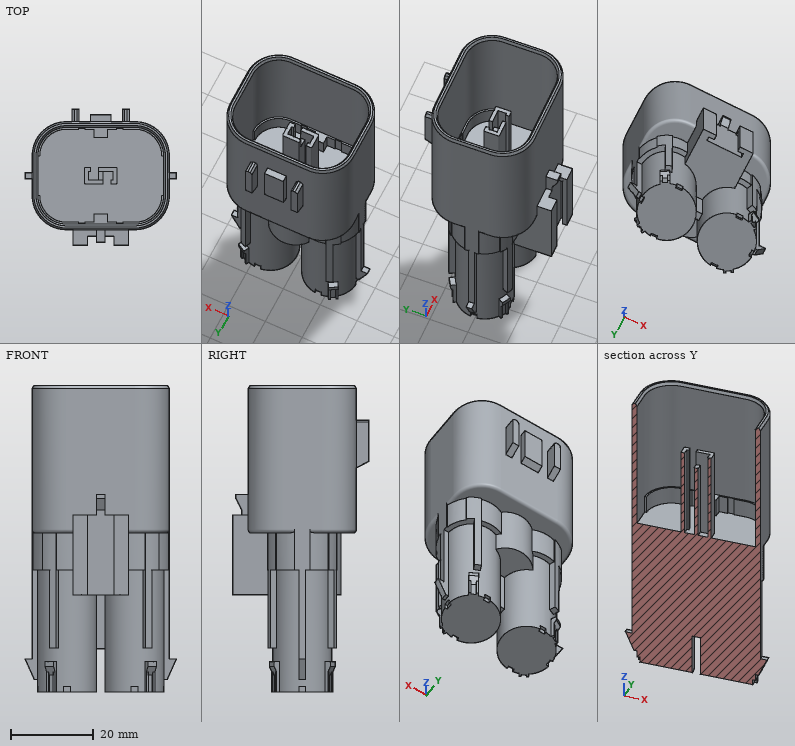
import cadquery as cq
import math

TOTAL_HEIGHT = 74.6

SHELL_LENGTH = 33.4
SHELL_WIDTH = 26.3
SHELL_CORNER_RADIUS = 8.35
SHELL_BOTTOM = 38.65
SHELL_BOTTOM_ROUND = 0.9
SHELL_WALL = 1.4
FLOOR_THICKNESS = 1.5
RIM_CHAMFER_WIDTH = 0.45
RIM_CHAMFER_HEIGHT = 0.75

LEDGE_WIDTH = 0.45
LEDGE_HEIGHT = 4.5
LEDGE_GAP = 9.7
LEDGE_NOTCH_WIDTH = 1.65
LEDGE_NOTCH_DEPTH = 0.2
LEDGE_NOTCH_SPACING = 9.25
TAB_WIDTH = 3.2
TAB_LENGTH = 2.0

KEY_TOP = 63.1
KEY_LENGTH = 7.9
KEY_WIDTH = 4.1
KEY_WALL = 1.0
KEY_HOOK = 1.5
KEY_BAR_WIDTH = 1.1
KEY_BAR_DROP = 3.7
KEY_CORNER_ROUND = 0.3

TUBE_DIAMETER = 14.4
TUBE_OFFSET = 8.2
SLEEVE_RADIUS = 8.5
SLEEVE_BOTTOM = 29.7
END_NOTCH_WIDTH = 1.65
END_NOTCH_HEIGHT = 1.4
END_NOTCH_DEPTH = 0.75
WEB_THICKNESS = 1.9
WEB_BOTTOM = 10.5

SIDE_ANGLE = 30.0
PAD_WIDTH = 3.7
PAD_RADIUS = 8.8
RIB_WIDTH = 1.7
RIB_BOTTOM = 10.7
CLIP_WIDTH = 2.4
CLIP_TOP = 7.4
CLIP_HEAD_BOTTOM = 6.2
CLIP_HEAD_RADIUS = 8.6
CLIP_BODY_RADIUS = 7.9
CLIP_BODY_TOP = 4.9
CLIP_CHANNEL_WIDTH = 1.3
CLIP_CHANNEL_RADIUS = 7.45
CLIP_CHANNEL_TOP = 4.1

WING_THICKNESS = 1.5
WING_ROOT_WIDTH = 3.7
BARB_REACH = 18.4
BARB_TOP = 8.05
BARB_TIP = 16.2
BARB_BOTTOM = 3.05

BLOCK_WIDTH = 13.6
BLOCK_FRONT = -16.9
BLOCK_BACK = -3.0
BLOCK_BOTTOM = 23.65
BLOCK_TOP = 43.1
CHANNEL_WIDTH = 6.4
CHANNEL_FLOOR = -14.8
UNDERCUT_WIDTH = 9.4
UNDERCUT_FRONT = -15.75
UNDERCUT_TOP = 41.7
CATCH_WIDTH = 2.2
CATCH_TOP = 48.1
CATCH_TIP = -16.2
CATCH_TIP_BOTTOM = 47.15
CATCH_SLOPE_BOTTOM = 44.3

BACK_BOSS_RADIUS = 6.8
BACK_BOSS_REACH = 9.5

RAIL_SPACING = 12.3
RAIL_WIDTH = 1.8
RAIL_REACH = 16.2
RAIL_TOP = 66.2
RAIL_SLOPE_TOP = 56.1
RAIL_BOTTOM = 54.5
RAIL_CHAMFER_WIDTH = 0.7
RAIL_CHAMFER_HEIGHT = 0.5
LOCK_BLOCK_WIDTH = 5.1
LOCK_BLOCK_REACH = 14.85

HALF_LENGTH = SHELL_LENGTH / 2
HALF_WIDTH = SHELL_WIDTH / 2
TUBE_RADIUS = TUBE_DIAMETER / 2
FLOOR_TOP = SHELL_BOTTOM + FLOOR_THICKNESS
JOIN_Z = SHELL_BOTTOM + FLOOR_THICKNESS / 2
WALL_MIDDLE = HALF_WIDTH - SHELL_WALL / 2


def box(x_range, y_range, z_range):
    """Box between two limits along each axis."""
    (x0, x1), (y0, y1), (z0, z1) = x_range, y_range, z_range
    return cq.Workplane("XY").box(x1 - x0, y1 - y0, z1 - z0, centered=False).translate((x0, y0, z0))


def centered_range(size, middle=0.0):
    return (middle - size / 2, middle + size / 2)


def side_profile(points, width, x_middle=0.0):
    """Extrude an outline of (y, z) points across X."""
    outline = cq.Workplane("YZ").polyline(points).close()
    return outline.extrude(width / 2, both=True).translate((x_middle, 0, 0))


def rounded_block(inset, z0, z1):
    """Shell outline moved inward by an inset, extruded between two heights."""
    return (
        cq.Workplane("XY", origin=(0, 0, z0))
        .rect(SHELL_LENGTH - 2 * inset, SHELL_WIDTH - 2 * inset)
        .extrude(z1 - z0)
        .edges("|Z")
        .fillet(SHELL_CORNER_RADIUS - inset)
    )


def cylinder(radius, x, y, z0, z1):
    return cq.Workplane("XY", origin=(x, y, z0)).circle(radius).extrude(z1 - z0)


def mirrored_in_x(body):
    return body.union(body.mirror("YZ"))


def mirrored_four_ways(body):
    half = mirrored_in_x(body)
    return half.union(half.mirror("XZ"))


def at_tube_side(body, angle):
    """Turn a feature built along -Y outward by an angle and place it on all four tube sides."""
    turned = body.rotate((0, 0, 0), (0, 0, 1), -angle)
    return mirrored_four_ways(turned.translate((-TUBE_OFFSET, 0, 0)))


def make_rim_slope(inset, taper):
    """Tapered block over the rim height, starting from the shell outline moved inward by an inset."""
    outline = rounded_block(inset, 0, TOTAL_HEIGHT - RIM_CHAMFER_HEIGHT).faces(">Z").wires()
    return outline.toPending().extrude(RIM_CHAMFER_HEIGHT, combine=False, taper=taper)


def make_shell():
    rim_taper = math.degrees(math.atan2(RIM_CHAMFER_WIDTH, RIM_CHAMFER_HEIGHT))
    outer = rounded_block(0, SHELL_BOTTOM, TOTAL_HEIGHT - RIM_CHAMFER_HEIGHT)
    outer = outer.faces("<Z").edges().fillet(SHELL_BOTTOM_ROUND).union(make_rim_slope(0, rim_taper))
    cavity = rounded_block(SHELL_WALL, FLOOR_TOP, TOTAL_HEIGHT)
    return outer.cut(cavity).cut(make_rim_slope(SHELL_WALL, -rim_taper))


def make_ledge():
    top = FLOOR_TOP + LEDGE_HEIGHT
    inset = SHELL_WALL + LEDGE_WIDTH
    ring = rounded_block(SHELL_WALL / 2, FLOOR_TOP, top).cut(rounded_block(inset, FLOOR_TOP, top))
    ring = ring.cut(
        box(centered_range(SHELL_LENGTH - 2 * SHELL_WALL), centered_range(LEDGE_GAP), (FLOOR_TOP, top))
    )
    inner_y = HALF_WIDTH - inset
    notch = box(
        centered_range(LEDGE_NOTCH_WIDTH, LEDGE_NOTCH_SPACING / 2),
        (inner_y, inner_y + LEDGE_NOTCH_DEPTH),
        (FLOOR_TOP, top),
    )
    ring = ring.cut(mirrored_four_ways(notch))
    tab = box(centered_range(TAB_WIDTH), (inner_y - TAB_LENGTH, WALL_MIDDLE), (FLOOR_TOP, top))
    return ring.union(tab).union(tab.mirror("XZ"))


def make_key():
    """Two hooks, half a turn apart, joined by a lower bar."""
    half_length = KEY_LENGTH / 2
    half_width = KEY_WIDTH / 2
    half_bar = KEY_BAR_WIDTH / 2
    inner_y = half_width - KEY_WALL
    inner_x = half_length - KEY_WALL
    hook_points = [
        (-half_bar, half_width),
        (half_length, half_width),
        (half_length, -half_width),
        (half_length - KEY_HOOK, -half_width),
        (half_length - KEY_HOOK, -inner_y),
        (inner_x, -inner_y),
        (inner_x, inner_y),
        (-half_bar, inner_y),
    ]
    hook = cq.Workplane("XY", origin=(0, 0, JOIN_Z)).polyline(hook_points).close().extrude(KEY_TOP - JOIN_Z)
    hook = hook.edges("|Z and >X").fillet(KEY_CORNER_ROUND)
    bar = box(centered_range(KEY_BAR_WIDTH), centered_range(KEY_WIDTH), (JOIN_Z, KEY_TOP - KEY_BAR_DROP))
    return hook.union(hook.rotate((0, 0, 0), (0, 0, 1), 180)).union(bar)


def make_tubes():
    tube = cylinder(TUBE_RADIUS, -TUBE_OFFSET, 0, 0, JOIN_Z)
    sleeve = cylinder(SLEEVE_RADIUS, -TUBE_OFFSET, 0, SLEEVE_BOTTOM, JOIN_Z)
    web = box(centered_range(2 * TUBE_OFFSET), centered_range(WEB_THICKNESS), (WEB_BOTTOM, JOIN_Z))
    return mirrored_in_x(tube.union(sleeve)).union(web)


def make_end_notches():
    """Shallow notches in the tube ends, on the front, back and outer sides."""
    depth_range = (TUBE_RADIUS - END_NOTCH_DEPTH, TUBE_RADIUS)
    height_range = (0, END_NOTCH_HEIGHT)
    back = box(centered_range(END_NOTCH_WIDTH), depth_range, height_range)
    outer = back.rotate((0, 0, 0), (0, 0, 1), 90)
    return mirrored_four_ways(back.union(outer).translate((-TUBE_OFFSET, 0, 0)))


def make_pads_and_ribs():
    """Raised pads on the sleeves, each with a rib running down the tube from its inner edge."""
    pad_half_angle = math.degrees(math.asin(PAD_WIDTH / 2 / PAD_RADIUS))
    rib_half_angle = math.degrees(math.asin(RIB_WIDTH / 2 / PAD_RADIUS))
    rib_angle = SIDE_ANGLE - pad_half_angle + rib_half_angle

    def strip(width, z0, z1):
        rounded = cylinder(PAD_RADIUS, 0, 0, z0, z1)
        return rounded.intersect(box(centered_range(width), (-PAD_RADIUS, 0), (z0, z1)))

    pads = at_tube_side(strip(PAD_WIDTH, SLEEVE_BOTTOM, JOIN_Z), SIDE_ANGLE)
    return pads.union(at_tube_side(strip(RIB_WIDTH, RIB_BOTTOM, SLEEVE_BOTTOM), rib_angle))


def make_clips():
    body = side_profile(
        [
            (0, 0),
            (-CLIP_BODY_RADIUS, 0),
            (-CLIP_BODY_RADIUS, CLIP_BODY_TOP),
            (-CLIP_HEAD_RADIUS, CLIP_HEAD_BOTTOM),
            (-CLIP_HEAD_RADIUS, CLIP_TOP),
            (0, CLIP_TOP),
        ],
        CLIP_WIDTH,
    )
    channel = side_profile(
        [
            (-CLIP_CHANNEL_RADIUS, 0),
            (-CLIP_CHANNEL_RADIUS, CLIP_CHANNEL_TOP),
            (-CLIP_BODY_RADIUS, CLIP_BODY_TOP),
            (-CLIP_BODY_RADIUS, 0),
        ],
        CLIP_CHANNEL_WIDTH,
    )
    return at_tube_side(body.cut(channel), SIDE_ANGLE)


def make_wings():
    wing_points = [
        (-TUBE_OFFSET, JOIN_Z),
        (-HALF_LENGTH, JOIN_Z),
        (-HALF_LENGTH, BARB_TOP),
        (-BARB_REACH, BARB_TOP),
        (-BARB_TIP, BARB_BOTTOM),
        (-TUBE_OFFSET, BARB_BOTTOM),
    ]
    wing = cq.Workplane("XZ").polyline(wing_points).close().extrude(WING_THICKNESS / 2, both=True)
    root_top = SHELL_BOTTOM + SHELL_BOTTOM_ROUND
    root = box((-HALF_LENGTH, -TUBE_OFFSET), centered_range(WING_ROOT_WIDTH), (SLEEVE_BOTTOM, root_top))
    return mirrored_in_x(wing.union(root))


def make_front_block():
    lower = box(centered_range(BLOCK_WIDTH), (BLOCK_FRONT, BLOCK_BACK), (BLOCK_BOTTOM, JOIN_Z))
    upper = box(centered_range(BLOCK_WIDTH), (BLOCK_FRONT, -WALL_MIDDLE), (BLOCK_BOTTOM, BLOCK_TOP))
    channel = box(centered_range(CHANNEL_WIDTH), (BLOCK_FRONT, CHANNEL_FLOOR), (BLOCK_BOTTOM, BLOCK_TOP))
    catch = side_profile(
        [
            (-WALL_MIDDLE, JOIN_Z),
            (CHANNEL_FLOOR, JOIN_Z),
            (CHANNEL_FLOOR, CATCH_SLOPE_BOTTOM),
            (CATCH_TIP, CATCH_TIP_BOTTOM),
            (CATCH_TIP, CATCH_TOP),
            (-WALL_MIDDLE, CATCH_TOP),
        ],
        CATCH_WIDTH,
    )
    undercut = box(
        centered_range(UNDERCUT_WIDTH), (UNDERCUT_FRONT, CHANNEL_FLOOR), (BLOCK_BOTTOM, UNDERCUT_TOP)
    )
    return lower.union(upper).cut(channel).cut(undercut).union(catch)


def make_back_boss():
    return cylinder(BACK_BOSS_RADIUS, 0, BACK_BOSS_REACH - BACK_BOSS_RADIUS, BLOCK_BOTTOM, JOIN_Z)


def make_back_lock():
    slope = (RAIL_SLOPE_TOP - RAIL_BOTTOM) / (RAIL_REACH - HALF_WIDTH)

    def underside(reach):
        return RAIL_BOTTOM + slope * (reach - HALF_WIDTH)

    def profile(reach):
        return [
            (WALL_MIDDLE, underside(HALF_WIDTH)),
            (HALF_WIDTH, underside(HALF_WIDTH)),
            (reach, underside(reach)),
            (reach, RAIL_TOP),
            (WALL_MIDDLE, RAIL_TOP),
        ]

    rail = side_profile(profile(RAIL_REACH), RAIL_WIDTH, RAIL_SPACING / 2)
    rail = rail.faces(">Z").edges("|Y").chamfer(RAIL_CHAMFER_HEIGHT, RAIL_CHAMFER_WIDTH)
    return mirrored_in_x(rail).union(side_profile(profile(LOCK_BLOCK_REACH), LOCK_BLOCK_WIDTH))


result = (
    make_shell()
    .union(make_ledge())
    .union(make_key())
    .union(make_tubes())
    .cut(make_end_notches())
    .union(make_pads_and_ribs())
    .union(make_clips())
    .union(make_wings())
    .union(make_front_block())
    .union(make_back_boss())
    .union(make_back_lock())
)